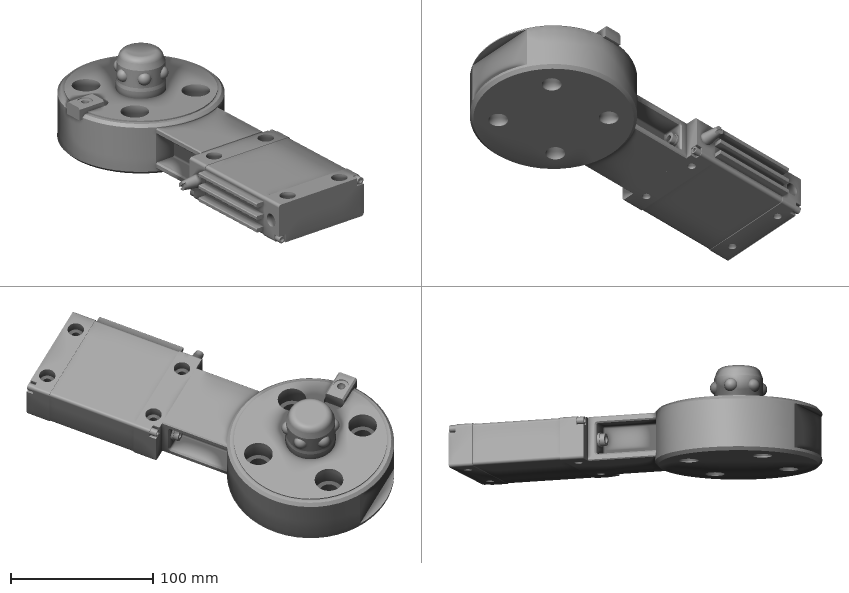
import cadquery as cq
import math


DISC_RADIUS = 59.0
DISC_HEIGHT = 39.8
DISC_TOP_FACE_RADIUS = 54.0
DISC_SHOULDER_RADIUS = 56.9
DISC_SHOULDER_Z = 38.8
DISC_WALL_TOP_Z = 36.7
DISC_BOTTOM_CHAMFER = 2.4
FLAT_X = 52.0
BOLT_OFFSET = 27.5
BOLT_HOLE_DIAMETER = 14.0
BOLT_BORE_DIAMETER = 20.2
BOLT_BORE_DEPTH = 13.4

PIN_TOP_Z = 69.5
PIN_BASE_RADIUS = 17.8
PIN_BASE_TOP_Z = 45.0
PIN_RADIUS = 17.3
PIN_BARREL_BOTTOM_Z = 47.7
PIN_BARREL_TOP_Z = 61.3
PIN_CONE_ANGLE = 20
PIN_TOP_FILLET = 5.2
BALL_COUNT = 6
BALL_RADIUS = 5.0
BALL_CIRCLE_RADIUS = 15.5
BALL_Z = 54.5

KEY_WIDTH = 14.5
KEY_BOTTOM_Z = 35.0
KEY_HEIGHT = 9.7
KEY_INNER_Y = -39.3
KEY_OUTER_Y = -61.0
KEY_CHAMFER = 1.3
SLOT_END_Y = -31.5
KEY_SCREW_Y = -50.3
KEY_SCREW_DIAMETER = 11.0
KEY_SCREW_RECESS = 0.8
KEY_SOCKET_DIAMETER = 5.8

ARM_WIDTH = 2 * math.sqrt(DISC_RADIUS**2 - FLAT_X**2)
ARM_BOTTOM_Z = 4.5
ARM_HEIGHT = 31.5
ARM_CHAMFER = 0.8
POCKET_DEPTH = 16.2
POCKET_END_WALL = 5.8
POCKET_RAIL = 4.7
POCKET_MOUTH_CHAMFER = 1.0
POCKET_FILLET = 1.3
ARM_SCREW_Y = 21
ARM_SCREW_DIAMETER = 9.0
ARM_SCREW_LENGTH = 5.2
WASHER_DIAMETER = 10.2
WASHER_THICKNESS = 1.5
ARM_SOCKET_DIAMETER = 4.7
ARM_SOCKET_DEPTH = 3.1

CYLINDER_START_X = 102.5
CYLINDER_END_X = 203.0
CYLINDER_WIDTH = 76.5
CYLINDER_HEIGHT = 30.7
CYLINDER_FILLET = 2.0
CAP_LENGTH = 17.5
BARREL_INSET = 0.4
MOUNT_END_INSET = 9.0
MOUNT_Y = 23.3
MOUNT_HOLE_DIAMETER = 6.0
MOUNT_BORE_DIAMETER = 11.5
MOUNT_BORE_DEPTH = 6.8
FIN_OUTER_Y = -44.3
FIN_THICKNESS = 3.1
FIN_CHAMFER = 0.5
FIN_SPACING = 9.7
PORT_DIAMETER = 9.7
PORT_DEPTH = 7.9
VALVE_END_Y = -52.5
VALVE_TIP_DIAMETER = 6.3
VALVE_SLOT_WIDTH = 1.5
VALVE_SLOT_DEPTH = 2.0
CORNER_NOTCH = 6.0
CORNER_NOTCH_LENGTH = 5.0
TIE_BOLT_DIAMETER = 5.2
TIE_BOLT_INSET = 3.0
TIE_SOCKET_DIAMETER = 3.1
TIE_SOCKET_DEPTH = 2.5

ARM_TOP_Z = ARM_BOTTOM_Z + ARM_HEIGHT
ARM_MID_Z = ARM_BOTTOM_Z + ARM_HEIGHT / 2
CYLINDER_MID_X = (CYLINDER_START_X + CYLINDER_END_X) / 2
CYLINDER_TOP_Z = ARM_BOTTOM_Z + CYLINDER_HEIGHT
CYLINDER_SIDE_Y = CYLINDER_WIDTH / 2
VALVE_X = CYLINDER_START_X + MOUNT_END_INSET
PORT_X = CYLINDER_END_X - MOUNT_END_INSET
CUT_MARGIN = 13


def box(x_range, y_range, z_range):
    """Axis-aligned block between the given limits."""
    size = [high - low for low, high in (x_range, y_range, z_range)]
    return cq.Workplane("XY").box(*size, centered=False).translate((x_range[0], y_range[0], z_range[0]))


def rod(start, direction, diameter, length):
    """Round bar starting at a point and running along a direction."""
    return cq.Workplane(cq.Solid.makeCylinder(diameter / 2, length, cq.Vector(*start), cq.Vector(*direction)))


def make_disc():
    profile = [
        (0, 0),
        (DISC_RADIUS - DISC_BOTTOM_CHAMFER, 0),
        (DISC_RADIUS, DISC_BOTTOM_CHAMFER),
        (DISC_RADIUS, DISC_WALL_TOP_Z),
        (DISC_SHOULDER_RADIUS, DISC_SHOULDER_Z),
        (DISC_TOP_FACE_RADIUS, DISC_SHOULDER_Z),
        (DISC_TOP_FACE_RADIUS, DISC_HEIGHT),
        (0, DISC_HEIGHT),
    ]
    disc = cq.Workplane("XZ").polyline(profile).close().revolve(360, (0, 0), (0, 1))
    for low, high in ((-DISC_RADIUS, -FLAT_X), (FLAT_X, DISC_RADIUS)):
        disc = disc.cut(box((low, high), (-DISC_RADIUS, DISC_RADIUS), (ARM_BOTTOM_Z, ARM_TOP_Z)))
    return (
        disc.faces(">Z").workplane(origin=(0, 0, DISC_HEIGHT))
        .rect(2 * BOLT_OFFSET, 2 * BOLT_OFFSET, forConstruction=True).vertices()
        .cboreHole(BOLT_HOLE_DIAMETER, BOLT_BORE_DIAMETER, BOLT_BORE_DEPTH)
    )


def make_pin():
    cone_height = PIN_TOP_Z - PIN_BARREL_TOP_Z
    cone_top_radius = PIN_RADIUS - cone_height * math.tan(math.radians(PIN_CONE_ANGLE))
    profile = [
        (0, DISC_HEIGHT),
        (PIN_BASE_RADIUS, DISC_HEIGHT),
        (PIN_BASE_RADIUS, PIN_BASE_TOP_Z),
        (PIN_RADIUS, PIN_BARREL_BOTTOM_Z),
        (PIN_RADIUS, PIN_BARREL_TOP_Z),
        (cone_top_radius, PIN_TOP_Z),
        (0, PIN_TOP_Z),
    ]
    pin = cq.Workplane("XZ").polyline(profile).close().revolve(360, (0, 0), (0, 1))
    pin = pin.faces(">Z").edges().fillet(PIN_TOP_FILLET)
    balls = (
        cq.Workplane("XY").workplane(offset=BALL_Z)
        .polarArray(BALL_CIRCLE_RADIUS, 90, 360, BALL_COUNT)
        .sphere(BALL_RADIUS, combine=False)
    )
    return pin.union(balls)


def make_key_slot():
    """Round-ended slot for the key, open at the rim of the disc."""
    round_y = SLOT_END_Y - KEY_WIDTH / 2
    half = KEY_WIDTH / 2
    slot_top = DISC_HEIGHT + 2.5
    channel = box((-half, half), (-DISC_RADIUS - 2.5, round_y), (KEY_BOTTOM_Z, slot_top))
    round_end = rod((0, round_y, KEY_BOTTOM_Z), (0, 0, 1), KEY_WIDTH, slot_top - KEY_BOTTOM_Z)
    return channel.union(round_end)


def make_head():
    return make_disc().union(make_pin()).cut(make_key_slot())


def make_key():
    half = KEY_WIDTH / 2
    top_z = KEY_BOTTOM_Z + KEY_HEIGHT
    key = box((-half, half), (KEY_OUTER_Y, KEY_INNER_Y), (KEY_BOTTOM_Z, top_z))
    key = key.faces(">Z").edges("|Y").chamfer(KEY_CHAMFER)
    screw_z = top_z - KEY_SCREW_RECESS
    key = key.cut(rod((0, KEY_SCREW_Y, screw_z), (0, 0, 1), KEY_SCREW_DIAMETER, KEY_SCREW_RECESS))
    socket = cq.Workplane("XY", origin=(0, KEY_SCREW_Y, screw_z)).sphere(KEY_SOCKET_DIAMETER / 2)
    return key.cut(socket)


def make_pocket():
    """Pocket volume on the -Y side, running out past the disc end of the arm."""
    start_x = FLAT_X - CUT_MARGIN
    end_x = CYLINDER_START_X - POCKET_END_WALL
    low_z = ARM_BOTTOM_Z + POCKET_RAIL
    high_z = ARM_TOP_Z - POCKET_RAIL
    side_y = -ARM_WIDTH / 2
    pocket = box((start_x, end_x), (side_y, side_y + POCKET_DEPTH), (low_z, high_z))
    pocket = pocket.edges("|Y").fillet(POCKET_FILLET)
    pocket = pocket.faces(">Y").edges().fillet(POCKET_FILLET)
    rim = POCKET_MOUTH_CHAMFER
    mouth = box(
        (start_x - rim, end_x + rim),
        (side_y - CUT_MARGIN, side_y + rim),
        (low_z - rim, high_z + rim),
    )
    mouth = mouth.edges("|Y").fillet(POCKET_FILLET + rim)
    mouth = mouth.faces(">Y").edges().chamfer(rim)
    return pocket.union(mouth)


def make_arm_screw():
    """Socket screw head and washer standing on the end wall of the -Y pocket."""
    wall_x = CYLINDER_START_X - POCKET_END_WALL
    tip = (wall_x - ARM_SCREW_LENGTH, -ARM_SCREW_Y, ARM_MID_Z)
    screw = rod(tip, (1, 0, 0), ARM_SCREW_DIAMETER, ARM_SCREW_LENGTH)
    washer_face = (wall_x - WASHER_THICKNESS, -ARM_SCREW_Y, ARM_MID_Z)
    screw = screw.union(rod(washer_face, (1, 0, 0), WASHER_DIAMETER, WASHER_THICKNESS))
    return screw.cut(rod(tip, (1, 0, 0), ARM_SOCKET_DIAMETER, ARM_SOCKET_DEPTH))


def make_arm():
    half = ARM_WIDTH / 2
    arm = box((FLAT_X, CYLINDER_START_X), (-half, half), (ARM_BOTTOM_Z, ARM_TOP_Z))
    arm = arm.edges("|X").chamfer(ARM_CHAMFER)
    pocket = make_pocket()
    screw = make_arm_screw()
    arm = arm.cut(pocket).cut(pocket.mirror("XZ"))
    return arm.union(screw).union(screw.mirror("XZ"))


def rounded_block(x_range, inset):
    """Length of cylinder section with rounded edges, shrunk all round by the inset."""
    y_range = (inset - CYLINDER_SIDE_Y, CYLINDER_SIDE_Y - inset)
    z_range = (ARM_BOTTOM_Z + inset, CYLINDER_TOP_Z - inset)
    return box(x_range, y_range, z_range).edges("|X").fillet(CYLINDER_FILLET)


def make_cylinder_block():
    barrel_x = (CYLINDER_START_X + CAP_LENGTH, CYLINDER_END_X - CAP_LENGTH)
    block = rounded_block(barrel_x, BARREL_INSET)
    for cap_x in ((CYLINDER_START_X, barrel_x[0]), (barrel_x[1], CYLINDER_END_X)):
        block = block.union(rounded_block(cap_x, 0))
    fin_y = (FIN_OUTER_Y, BARREL_INSET - CYLINDER_SIDE_Y)
    for step in (-1, 0, 1):
        low_z = ARM_MID_Z + step * FIN_SPACING - FIN_THICKNESS / 2
        fin = box(barrel_x, fin_y, (low_z, low_z + FIN_THICKNESS))
        block = block.union(fin.faces("<Y").edges("|X").chamfer(FIN_CHAMFER))
    return block


def cut_mount_holes(block):
    return (
        block.faces(">Z").workplane(origin=(CYLINDER_MID_X, 0, CYLINDER_TOP_Z))
        .rect(PORT_X - VALVE_X, 2 * MOUNT_Y, forConstruction=True).vertices()
        .cboreHole(MOUNT_HOLE_DIAMETER, MOUNT_BORE_DIAMETER, MOUNT_BORE_DEPTH)
    )


def add_tie_bolts(block):
    """Corner notches holding tie bolt heads, at two opposite corners of each end."""
    for x, inward in ((CYLINDER_START_X, 1), (CYLINDER_END_X, -1)):
        for y, z, side in ((-CYLINDER_SIDE_Y, ARM_BOTTOM_Z, 1), (CYLINDER_SIDE_Y, CYLINDER_TOP_Z, -1)):
            x_range = sorted((x, x + inward * CORNER_NOTCH_LENGTH))
            y_range = sorted((y, y + side * CORNER_NOTCH))
            z_range = sorted((z, z + side * CORNER_NOTCH))
            center = (x, y + side * TIE_BOLT_INSET, z + side * TIE_BOLT_INSET)
            along = (inward, 0, 0)
            block = block.cut(box(x_range, y_range, z_range))
            block = block.union(rod(center, along, TIE_BOLT_DIAMETER, CORNER_NOTCH_LENGTH))
            block = block.cut(rod(center, along, TIE_SOCKET_DIAMETER, TIE_SOCKET_DEPTH))
    return block


def make_valve():
    """Tapered speed control valve with a screwdriver slot across its tip."""
    length = -CYLINDER_SIDE_Y - VALVE_END_Y
    base = cq.Vector(VALVE_X, -CYLINDER_SIDE_Y, ARM_MID_Z)
    valve = cq.Workplane(
        cq.Solid.makeCone(PORT_DIAMETER / 2, VALVE_TIP_DIAMETER / 2, length, base, cq.Vector(0, -1, 0))
    )
    slot = (
        cq.Workplane("XZ", origin=(VALVE_X, VALVE_END_Y, ARM_MID_Z))
        .transformed(rotate=(0, 0, 45))
        .rect(2 * VALVE_TIP_DIAMETER, VALVE_SLOT_WIDTH)
        .extrude(-VALVE_SLOT_DEPTH)
    )
    return valve.cut(slot)


def make_air_cylinder():
    block = add_tie_bolts(cut_mount_holes(make_cylinder_block()))
    block = block.cut(rod((PORT_X, -CYLINDER_SIDE_Y, ARM_MID_Z), (0, 1, 0), PORT_DIAMETER, PORT_DEPTH))
    return block.union(make_valve())


head = make_head()
key = make_key()
arm = make_arm()
air_cylinder = make_air_cylinder()

result = cq.Compound.makeCompound([head.val(), key.val(), arm.val(), air_cylinder.val()])